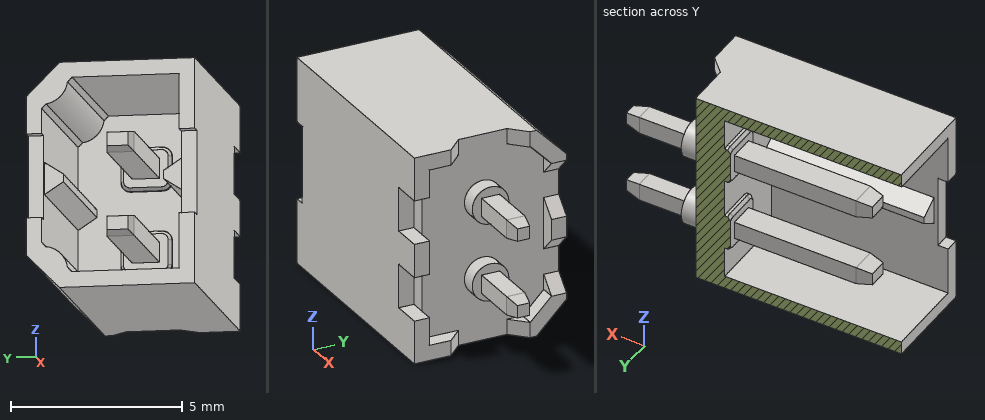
import cadquery as cq
import math

TOTAL_LENGTH = 9.6
BODY_LENGTH = 7.5
BODY_WIDTH = 5.0
BODY_HEIGHT = 6.7
BODY_CHAMFER = 0.99
WALL = 0.46

CAVITY_DEPTH = 6.0
CORNER_SETBACK = 0.9
CORNER_LEG = 0.13
CORNER_BULGE = 0.56
RIB_START = 0.48
RIB_REACH = 0.56
RIB_ROOT_WIDTH = 0.96
RIB_TIP_WIDTH = 0.23

NOTCH_DEPTH = 0.35
NOTCH_WIDTH = 2.5

SKIRT_THICKNESS = 0.5
RECESS_DEPTH = 0.5
END_NOTCH_WIDTH = 1.59
SIDE_NOTCH_WIDTH = 0.83
SLOT_DEPTH = 1.0
SLOT_WIDTH = 1.41

PITCH = 2.5
PIN_SIZE = 0.6
BLADE_WIDTH = 0.81
BLADE_TIP_X = 1.17
TIP_LENGTH = 0.5
TIP_INSET = 0.1
SEAT_DIAMETER = 1.2
PEDESTAL_RISE = 0.19
PEDESTAL_WIDTH = 1.51
PEDESTAL_HEIGHT = 1.3
PEDESTAL_RADIUS = 0.28
PEDESTAL_CHAMFER = 0.1

half_width = BODY_WIDTH / 2
half_height = BODY_HEIGHT / 2
recess_floor_x = BODY_LENGTH - RECESS_DEPTH
contact_heights = (-PITCH / 2, PITCH / 2)


def box(x_range, y_range, z_range):
    """Axis-aligned box given by its limits along each axis."""
    (x0, x1), (y0, y1), (z0, z1) = x_range, y_range, z_range
    return cq.Workplane("XY").box(x1 - x0, y1 - y0, z1 - z0, centered=False).translate((x0, y0, z0))


def housing_prism(x_start, x_end, inset=0.0):
    """Housing cross-section, moved inwards by inset, extruded from x_start to x_end."""
    y_side = half_width - inset
    z_side = half_height - inset
    chamfer = BODY_CHAMFER - (2 - math.sqrt(2)) * inset
    block = box((x_start, x_end), (-y_side, y_side), (-z_side, z_side))
    return block.edges("|X and >Y").chamfer(chamfer)


def cavity():
    """Rectangular cavity whose two +Y corners are filled by a curved web."""
    y_wall = half_width - WALL
    z_wall = half_height - WALL
    near = CORNER_LEG
    far = CORNER_SETBACK - CORNER_LEG
    return (
        cq.Workplane("YZ")
        .moveTo(-y_wall, -z_wall)
        .lineTo(y_wall - CORNER_SETBACK, -z_wall)
        .lineTo(y_wall - far, -z_wall + near)
        .threePointArc((y_wall - CORNER_BULGE, -z_wall + CORNER_BULGE), (y_wall - near, -z_wall + far))
        .lineTo(y_wall, -z_wall + CORNER_SETBACK)
        .lineTo(y_wall, z_wall - CORNER_SETBACK)
        .lineTo(y_wall - near, z_wall - far)
        .threePointArc((y_wall - CORNER_BULGE, z_wall - CORNER_BULGE), (y_wall - far, z_wall - near))
        .lineTo(y_wall - CORNER_SETBACK, z_wall)
        .lineTo(-y_wall, z_wall)
        .close()
        .extrude(CAVITY_DEPTH)
    )


def rib(side):
    """Tapered guide rib on one side wall (side = +1 or -1), running to the cavity floor."""
    wall_y = side * (half_width - WALL)
    tip_y = wall_y - side * RIB_REACH
    return (
        cq.Workplane("YZ", origin=(RIB_START, 0, 0))
        .polyline([
            (wall_y, -RIB_ROOT_WIDTH / 2),
            (tip_y, -RIB_TIP_WIDTH / 2),
            (tip_y, RIB_TIP_WIDTH / 2),
            (wall_y, RIB_ROOT_WIDTH / 2),
        ])
        .close()
        .extrude(CAVITY_DEPTH - RIB_START)
    )


def flared_notch(plane, origin, floor_width, length):
    """Notch with a flat floor and 45 degree flared flanks, cut into the rear edge of a wall."""
    floor = floor_width / 2
    mouth = floor + RECESS_DEPTH
    return (
        cq.Workplane(plane, origin=origin)
        .polyline([(0, -floor), (RECESS_DEPTH, -mouth), (RECESS_DEPTH, mouth), (0, floor)])
        .close()
        .extrude(length)
    )


def end_notches():
    """Notches through the +Z and -Z skirt walls, in line with each other."""
    return flared_notch("XY", (recess_floor_x, 0, -half_height), END_NOTCH_WIDTH, BODY_HEIGHT)


def side_notch(z):
    """Notch through the +Y skirt wall next to one contact."""
    return flared_notch("XZ", (recess_floor_x, half_width, z), SIDE_NOTCH_WIDTH, SKIRT_THICKNESS)


def slot(z):
    """Square slot through the -Y skirt wall, running past the recess floor."""
    return box(
        (BODY_LENGTH - SLOT_DEPTH, BODY_LENGTH),
        (-half_width, -half_width + SKIRT_THICKNESS),
        (z - SLOT_WIDTH / 2, z + SLOT_WIDTH / 2),
    )


def tip(x_base, x_end, width, height):
    plane = cq.Workplane("YZ", origin=(x_base, 0, 0)).rect(width, height)
    return (
        plane.workplane(offset=x_end - x_base)
        .rect(width - 2 * TIP_INSET, height - 2 * TIP_INSET)
        .loft(combine=True)
    )


def contact():
    blade_x = BLADE_TIP_X + TIP_LENGTH
    tail_x = TOTAL_LENGTH - TIP_LENGTH
    blade = box((blade_x, recess_floor_x), (-BLADE_WIDTH / 2, BLADE_WIDTH / 2), (-PIN_SIZE / 2, PIN_SIZE / 2))
    tail = box((recess_floor_x, tail_x), (-PIN_SIZE / 2, PIN_SIZE / 2), (-PIN_SIZE / 2, PIN_SIZE / 2))
    seat = cq.Workplane("YZ", origin=(recess_floor_x, 0, 0)).circle(SEAT_DIAMETER / 2).extrude(RECESS_DEPTH)
    pedestal = (
        cq.Workplane("YZ", origin=(CAVITY_DEPTH - PEDESTAL_RISE, 0, 0))
        .rect(PEDESTAL_WIDTH, PEDESTAL_HEIGHT)
        .extrude(PEDESTAL_RISE)
        .edges("|X").fillet(PEDESTAL_RADIUS)
        .faces("<X").chamfer(PEDESTAL_CHAMFER)
    )
    blade_tip = tip(blade_x, BLADE_TIP_X, BLADE_WIDTH, PIN_SIZE)
    tail_tip = tip(tail_x, TOTAL_LENGTH, PIN_SIZE, PIN_SIZE)
    return pedestal.union(blade).union(blade_tip).union(tail).union(tail_tip).union(seat)


latch_notch = box((0, NOTCH_DEPTH), (-half_width, half_width), (-NOTCH_WIDTH / 2, NOTCH_WIDTH / 2))
recess = housing_prism(recess_floor_x, BODY_LENGTH, SKIRT_THICKNESS)

body = housing_prism(0, BODY_LENGTH).cut(cavity()).cut(latch_notch).cut(recess).cut(end_notches())
for side in (-1, 1):
    body = body.union(rib(side))
for z in contact_heights:
    body = body.cut(side_notch(z)).cut(slot(z))
    body = body.union(contact().translate((0, 0, z)))

result = body